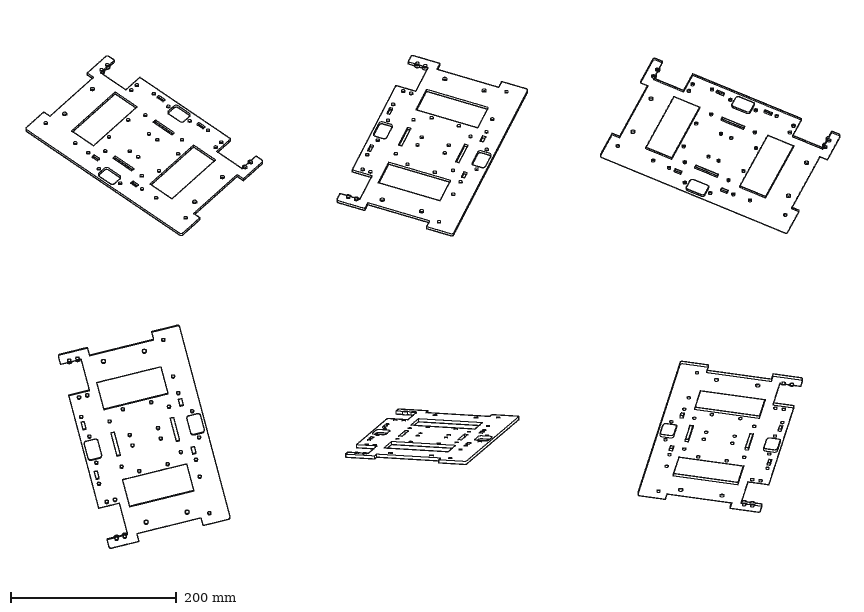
import cadquery as cq

length = 250.0
width = 151.0
thickness = 4.0
corner_radius = 2.5

recess_depth = 10.0
wheel_length = 80.0
wheel_center_y = -1.2
window_width = 35.0
window_center_x = 62.8

notch_inner_x = 72.8
notch_outer_x = 113.2
notch_depth = 25.8

opening_length = 24.8
opening_width = 17.0
opening_radius = 3.5
opening_center_y = 64.0

slot_width = 4.2
long_slot_length = 30.0
long_slot_offset_y = 37.0
upper_slot_length = 10.0
upper_slot_width = 3.8
upper_slot_center = (32.0, 67.5)
lower_slot_length = 8.8
lower_slot_center = (31.0, -53.5)

hole_diameter = 4.0
large_hole_diameter = 5.0
large_hole_x = 104.0
large_hole_spacing = 51.0

lug_diameter = 7.2
lug_hole_diameter = 4.2
lug_x = 115.0
lug_partner_x = 67.5
lug_rows_y = (64.0, 53.8)

grid_columns_x = (6.8, 40.0)
grid_spacing_y = 35.2

long_slot_hole_x = 29.2
opening_hole_x = 17.0
upper_slot_hole = (43.2, 67.5)
lower_slot_hole = (43.0, -53.5)
lower_row_y = -52.5
lower_row_x = (64.8, 112.0)


def mirrored(points):
    """Return the points together with their mirror images across the YZ plane."""
    return [(side * x, y) for x, y in points for side in (1, -1)]


def about_wheel_center(columns, spacing):
    """Return points in two rows placed evenly about the wheel centre line."""
    return [(x, wheel_center_y + side * spacing / 2) for x in columns for side in (1, -1)]


def rectangles(points, size_x, size_y):
    """Return rectangular cutters through the plate."""
    return cq.Workplane("XY").pushPoints(points).rect(size_x, size_y).extrude(thickness)


def cylinders(points, diameter):
    """Return cylinders as tall as the plate."""
    return cq.Workplane("XY").pushPoints(points).circle(diameter / 2).extrude(thickness)


plate = rectangles([(0, 0)], length, width).edges("|Z").fillet(corner_radius)

recess_centers = mirrored([(length / 2, wheel_center_y)])
plate = plate.cut(rectangles(recess_centers, 2 * recess_depth, wheel_length))

notch_centers = mirrored([((notch_inner_x + notch_outer_x) / 2, width / 2)])
plate = plate.cut(rectangles(notch_centers, notch_outer_x - notch_inner_x, 2 * notch_depth))

plate = plate.cut(rectangles(mirrored([(window_center_x, wheel_center_y)]), window_width, wheel_length))

opening_centers = [(0, opening_center_y), (0, -opening_center_y)]
openings = rectangles(opening_centers, opening_length, opening_width)
plate = plate.cut(openings.edges("|Z").fillet(opening_radius))

long_slot_centers = about_wheel_center([0], 2 * long_slot_offset_y)
plate = plate.cut(rectangles(long_slot_centers, long_slot_length, slot_width))
plate = plate.cut(rectangles(mirrored([upper_slot_center]), upper_slot_length, upper_slot_width))
plate = plate.cut(rectangles(mirrored([lower_slot_center]), lower_slot_length, slot_width))

lug_centers = [(lug_x, y) for y in lug_rows_y]
plate = plate.union(cylinders(mirrored(lug_centers), lug_diameter))

lug_holes = lug_centers + [(lug_partner_x, y) for y in lug_rows_y]
plate = plate.cut(cylinders(mirrored(lug_holes), lug_hole_diameter))

small_holes = about_wheel_center(grid_columns_x, grid_spacing_y)
small_holes += about_wheel_center([long_slot_hole_x], 2 * long_slot_offset_y)
small_holes += [(opening_hole_x, y) for _, y in opening_centers]
small_holes += [(x, lower_row_y) for x in lower_row_x]
small_holes += [upper_slot_hole, lower_slot_hole]
plate = plate.cut(cylinders(mirrored(small_holes), hole_diameter))

large_holes = about_wheel_center([large_hole_x], large_hole_spacing)
plate = plate.cut(cylinders(mirrored(large_holes), large_hole_diameter))

result = plate